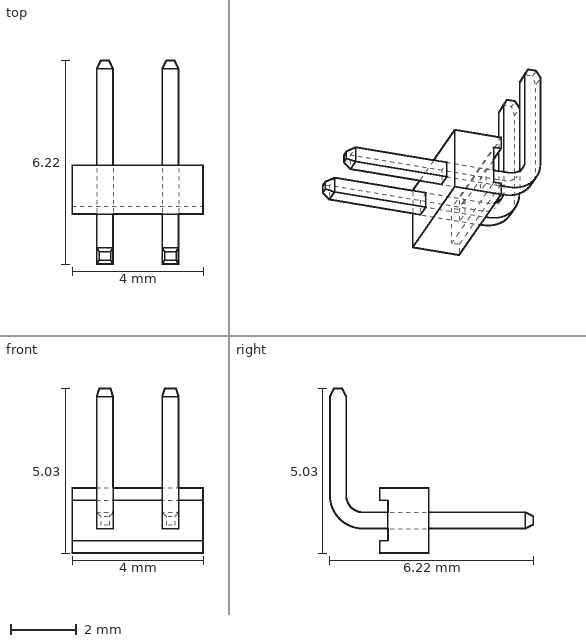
import cadquery as cq

HOUSING_WIDTH = 4.0
HOUSING_DEPTH = 1.5
HOUSING_HEIGHT = 1.995
HOUSING_FRONT_Y = 1.525
GROOVE_DEPTH = 0.25
LIP_HEIGHT = 0.385

PIN_PITCH = HOUSING_WIDTH / 2
PIN_COUNT = 2
PIN_SIZE = 0.505
PIN_LENGTH_Y = 6.22
PIN_TOP_Z = 5.03
PIN_AXIS_Z = HOUSING_HEIGHT / 2
BEND_INNER_RADIUS = 0.51
BEND_AXIS_RADIUS = BEND_INNER_RADIUS + PIN_SIZE / 2
TIP_LENGTH = 0.255
LEG_TIP_WIDTH = 0.35
TIP_THICKNESS = 0.255
MATING_TIP_WIDTH = 0.255

PIN_AXIS_Y = PIN_SIZE / 2
LEG_START = (PIN_AXIS_Y, PIN_TOP_Z - TIP_LENGTH)
MATING_END = (PIN_LENGTH_Y - TIP_LENGTH, PIN_AXIS_Z)


def tapered_tip(base_plane, tip_x, tip_y):
    """Pyramid frustum from the full pin section to a smaller end face."""
    return (
        cq.Workplane(base_plane)
        .rect(PIN_SIZE, PIN_SIZE)
        .workplane(offset=TIP_LENGTH)
        .rect(tip_x, tip_y)
        .loft(ruled=True)
    )


def make_pin(x):
    """One bent pin whose axis lies in the plane at the given X."""
    axis = (
        cq.Workplane("YZ", origin=(x, 0, 0))
        .moveTo(*LEG_START)
        .lineTo(PIN_AXIS_Y, PIN_AXIS_Z + BEND_AXIS_RADIUS)
        .radiusArc((PIN_AXIS_Y + BEND_AXIS_RADIUS, PIN_AXIS_Z), -BEND_AXIS_RADIUS)
        .lineTo(*MATING_END)
    )
    leg_plane = cq.Plane(origin=(x, *LEG_START), xDir=(1, 0, 0), normal=(0, 0, 1))
    mating_plane = cq.Plane(origin=(x, *MATING_END), xDir=(1, 0, 0), normal=(0, 1, 0))
    wire = cq.Workplane(leg_plane).rect(PIN_SIZE, PIN_SIZE).sweep(axis)
    leg_tip = tapered_tip(leg_plane, LEG_TIP_WIDTH, TIP_THICKNESS)
    mating_tip = tapered_tip(mating_plane, MATING_TIP_WIDTH, TIP_THICKNESS)
    return wire.union(leg_tip).union(mating_tip)


def make_housing(pins):
    """Grooved block with a matching hole for each pin."""
    back_y = HOUSING_FRONT_Y + HOUSING_DEPTH
    groove_floor_y = HOUSING_FRONT_Y + GROOVE_DEPTH
    groove_top_z = HOUSING_HEIGHT - LIP_HEIGHT
    profile = [
        (HOUSING_FRONT_Y, 0),
        (back_y, 0),
        (back_y, HOUSING_HEIGHT),
        (HOUSING_FRONT_Y, HOUSING_HEIGHT),
        (HOUSING_FRONT_Y, groove_top_z),
        (groove_floor_y, groove_top_z),
        (groove_floor_y, LIP_HEIGHT),
        (HOUSING_FRONT_Y, LIP_HEIGHT),
    ]
    block = cq.Workplane("YZ").polyline(profile).close().extrude(HOUSING_WIDTH / 2, both=True)
    for pin in pins:
        block = block.cut(pin)
    return block


first_pin_x = -PIN_PITCH * (PIN_COUNT - 1) / 2
pins = [make_pin(first_pin_x + i * PIN_PITCH) for i in range(PIN_COUNT)]
housing = make_housing(pins)

result = cq.Compound.makeCompound([housing.val(), *[pin.val() for pin in pins]])